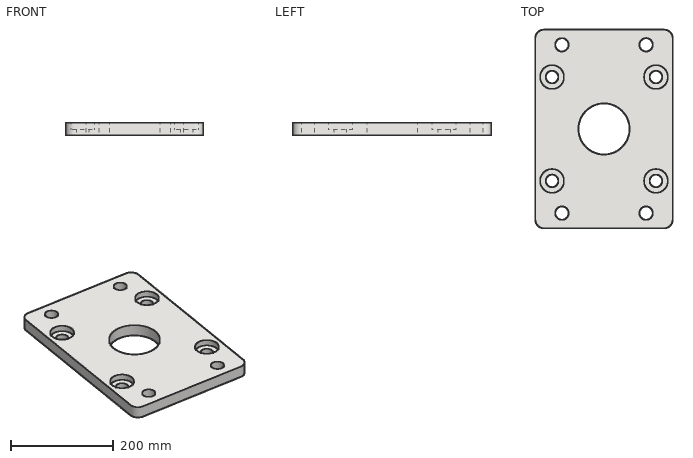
import cadquery as cq

width = 270.0
length = 390.0
thickness = 25.0
corner_radius = 17.5

bore_diameter = 100.0

mount_hole_diameter = 25.7
mount_spacing_x = 165.0
mount_spacing_y = 330.0

bolt_spacing = 203.5
bolt_hole_diameter = 24.0
counterbore_diameter = 46.8
counterbore_depth = 13.0


def make_plate():
    """Rounded rectangular plate, centred in X and Y with its base at Z = 0."""
    plate = cq.Workplane("XY").box(width, length, thickness, centered=(True, True, False))
    return plate.edges("|Z").fillet(corner_radius)


def cut_bore(body):
    return body.faces(">Z").workplane(origin=(0, 0, thickness)).hole(bore_diameter)


def cut_mount_holes(body):
    top = body.faces(">Z").workplane(origin=(0, 0, thickness))
    return top.rarray(mount_spacing_x, mount_spacing_y, 2, 2).hole(mount_hole_diameter)


def cut_bolt_holes(body):
    top = body.faces(">Z").workplane(origin=(0, 0, thickness))
    centres = top.rarray(bolt_spacing, bolt_spacing, 2, 2)
    return centres.cboreHole(bolt_hole_diameter, counterbore_diameter, counterbore_depth)


result = cut_bolt_holes(cut_mount_holes(cut_bore(make_plate())))